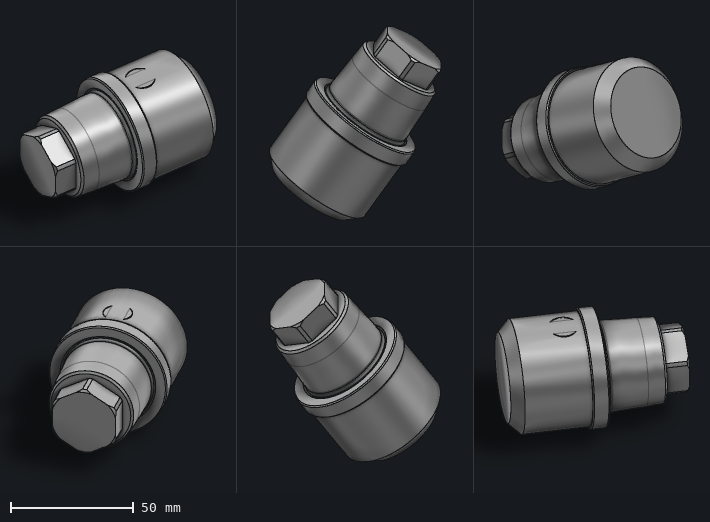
import cadquery as cq

total_length = 75.0
hex_length = 10.0
neck_taper_break = 18.0
neck_taper_start = 33.1
neck_relief_front = 33.75
neck_relief_back = 34.3
flange_front = 35.0
flange_back = 42.0

body_radius = 23.85
body_chamfer = 5.0
flange_diameter = 50.0
flange_radius = flange_diameter / 2
flange_chamfer = 0.5
neck_base_radius = 19.05
neck_relief_radius = 18.9
neck_break_radius = 18.4
neck_end_radius = 17.9
neck_chamfer_length = 0.9
neck_chamfer_depth = 1.0

recess_outer_radius = 20.25
recess_inner_radius = 19.5
recess_depth = 0.4

hex_across_flats = 26.7
hex_corner_diameter = 29.85
hex_chamfer = 1.0

boss_radius = 6.0
boss_center_y = 50.0
boss_top_z = 23.55


def turned_body():
    """Body, flange and tapered neck, revolved around the Y axis."""
    recess_floor = flange_front + recess_depth
    profile = [
        (0, hex_length),
        (neck_end_radius - neck_chamfer_depth, hex_length),
        (neck_end_radius, hex_length + neck_chamfer_length),
        (neck_break_radius, neck_taper_break),
        (neck_base_radius, neck_taper_start),
        (neck_relief_radius, neck_relief_front),
        (neck_base_radius, neck_relief_back),
        (recess_inner_radius, recess_floor),
        (recess_outer_radius, recess_floor),
        (recess_outer_radius, flange_front),
        (flange_radius - flange_chamfer, flange_front),
        (flange_radius, flange_front + flange_chamfer),
        (flange_radius, flange_back - flange_chamfer),
        (flange_radius - flange_chamfer, flange_back),
        (body_radius, flange_back),
        (body_radius, total_length - body_chamfer),
        (body_radius - body_chamfer, total_length),
        (0, total_length),
    ]
    return cq.Workplane("XY").polyline(profile).close().revolve(360, (0, 0), (0, 1))


def hex_drive():
    """Hexagon with flats facing +X and -X, corners turned down and chamfered at the end."""
    prism = (
        cq.Workplane("XZ")
        .polygon(6, hex_across_flats, circumscribed=True)
        .extrude(-hex_length)
    )
    corner_limit = (
        cq.Workplane("XZ")
        .circle(hex_corner_diameter / 2)
        .extrude(-hex_length)
        .faces("<Y")
        .chamfer(hex_chamfer)
    )
    return prism.intersect(corner_limit)


def round_boss():
    """Disc on the +Z side whose flat top lies just under the crest of the body."""
    return (
        cq.Workplane("XY")
        .center(0, boss_center_y)
        .circle(boss_radius)
        .extrude(boss_top_z)
    )


result = turned_body().union(hex_drive()).union(round_boss())